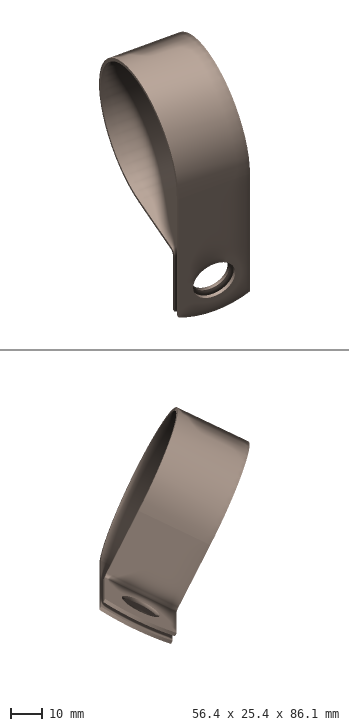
import cadquery as cq
import math

total_height = 86.1
strap_width = 25.4
thickness = 1.2
loop_diameter = 56.4
leg_gap = 1.6
bend_radius = 1.2
short_leg_hole_diameter = 13.4
long_leg_hole_diameter = 15.0
hole_to_tip = 14.4
tip_radius = 27.6

outer_radius = loop_diameter / 2
inner_radius = outer_radius - thickness
bottom_z = outer_radius - total_height
short_leg_outer_x = inner_radius - leg_gap
short_leg_inner_x = short_leg_outer_x - thickness
outer_bend_radius = bend_radius + thickness
bend_center_x = short_leg_outer_x - outer_bend_radius
bend_center_z = -inner_radius - outer_bend_radius
diagonal = math.sqrt(0.5)


def make_strap():
    """Bent strip: long leg, three-quarter loop, flat shelf and short leg."""
    outer_bend_mid = (bend_center_x + outer_bend_radius * diagonal,
                      bend_center_z + outer_bend_radius * diagonal)
    inner_bend_mid = (bend_center_x + bend_radius * diagonal,
                      bend_center_z + bend_radius * diagonal)
    profile = (
        cq.Workplane("XZ")
        .moveTo(outer_radius, bottom_z)
        .lineTo(outer_radius, 0)
        .threePointArc((-outer_radius * diagonal, outer_radius * diagonal), (0, -outer_radius))
        .lineTo(bend_center_x, -outer_radius)
        .threePointArc(inner_bend_mid, (short_leg_inner_x, bend_center_z))
        .lineTo(short_leg_inner_x, bottom_z)
        .lineTo(short_leg_outer_x, bottom_z)
        .lineTo(short_leg_outer_x, bend_center_z)
        .threePointArc(outer_bend_mid, (bend_center_x, -inner_radius))
        .lineTo(0, -inner_radius)
        .threePointArc((-inner_radius * diagonal, inner_radius * diagonal), (inner_radius, 0))
        .lineTo(inner_radius, bottom_z)
        .close()
    )
    return profile.extrude(strap_width / 2, both=True)


def make_side_outline():
    """Block along X that trims the lower ends of both legs to an arc."""
    half_width = strap_width / 2
    tip_rise = tip_radius - math.sqrt(tip_radius**2 - half_width**2)
    corner_z = bottom_z + tip_rise
    return (
        cq.Workplane("YZ")
        .moveTo(-half_width, outer_radius)
        .lineTo(-half_width, corner_z)
        .threePointArc((0, bottom_z), (half_width, corner_z))
        .lineTo(half_width, outer_radius)
        .close()
        .extrude(outer_radius, both=True)
    )


def make_leg_hole(diameter, start_x):
    """Cylinder along X that cuts one leg, from its inner face at start_x."""
    return (
        cq.Workplane("YZ", origin=(start_x, 0, bottom_z + hole_to_tip))
        .circle(diameter / 2)
        .extrude(thickness)
    )


strap = make_strap().intersect(make_side_outline())
strap = strap.cut(make_leg_hole(short_leg_hole_diameter, short_leg_inner_x))
result = strap.cut(make_leg_hole(long_leg_hole_diameter, inner_radius))